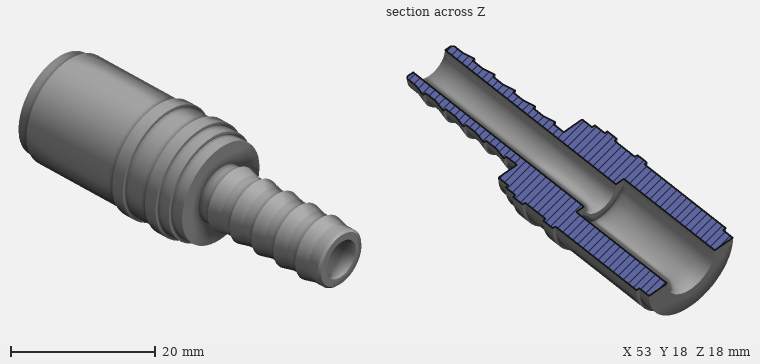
import cadquery as cq


total_length = 53.0
tail_length = 22.45
front_step_length = 1.95
rear_step_length = 2.0
collar_width = 2.0
front_collar_start = 18.4
tip_chamfer = 0.3

collar_radius = 9.0
sleeve_radius = 8.55
core_radius = 8.0
barb_radius = 5.0
tail_radius = 4.5
socket_radius = 4.5
bore_radius = 3.0

barb_count = 5

body_length = total_length - tail_length
sleeve_end = body_length - rear_step_length
rear_collar_start = sleeve_end - 2 * collar_width
barb_length = tail_length / (2 * barb_count + 1)
socket_depth = front_collar_start


def cylinder(start, end, radius):
    """Solid cylinder along X from x = start to x = end."""
    return cq.Workplane("YZ").workplane(offset=start).circle(radius).extrude(end - start)


def barb(start):
    """Barb with a square shoulder facing the body, tapering down to the tail."""
    end = start + barb_length
    outline = [(start, 0), (start, barb_radius), (end, tail_radius), (end, 0)]
    return cq.Workplane("XY").polyline(outline).close().revolve(360, (0, 0, 0), (1, 0, 0))


core = cylinder(0, body_length, core_radius)
sleeve = cylinder(front_step_length, sleeve_end, sleeve_radius)
result = core.union(sleeve)
for collar_start in (front_collar_start, rear_collar_start):
    collar = cylinder(collar_start, collar_start + collar_width, collar_radius)
    result = result.union(collar)

tail = cylinder(body_length, total_length, tail_radius)
tail = tail.faces(">X").chamfer(tip_chamfer)
result = result.union(tail)
for index in range(barb_count):
    barb_start = body_length + (2 * index + 1) * barb_length
    result = result.union(barb(barb_start))

bore = cylinder(0, total_length, bore_radius)
socket = cylinder(0, socket_depth, socket_radius)
result = result.cut(bore).cut(socket)